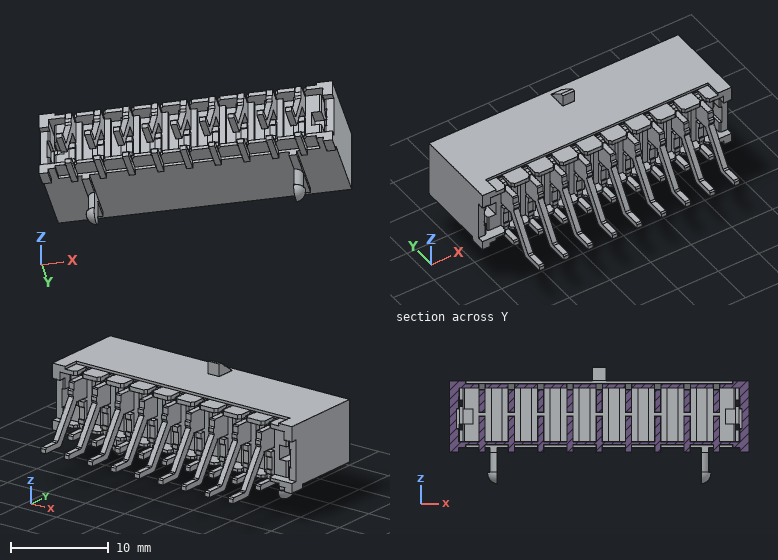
import cadquery as cq


LENGTH = 30.7
DEPTH = 9.92
BODY_BOTTOM = 0.45
BODY_TOP = 7.35
HALF = LENGTH / 2

COLUMNS = 9
ROW_SPAN = 24.0
PITCH = ROW_SPAN / (COLUMNS - 1)
PIN_WIDTH = 0.65
PIN_ROOT = 2.15
TAIL_HEIGHT = 0.65
TIP_CHAMFER = 0.15
OVERALL_DEPTH = 15.9
UPPER_TIP = DEPTH - OVERALL_DEPTH
LOWER_TIP = -1.32
PIN_XS = [-ROW_SPAN / 2 + i * PITCH for i in range(COLUMNS)]

BARB_TOP = 6.88
BARB_FRONT = 1.78
SHOULDER_TOP = 6.7
SHOULDER_BACK = 1.65
SHOULDER_FRONT = 1.1
HEAD_RAMP_FRONT = 0.85
HEAD_RAMP_TOP = 6.5
HEAD_TOP = 6.42
HEAD_BOTTOM = 4.08
HEAD_FRONT = -1.15
HEAD_CHAMFER = 0.12
NOSE_FRONT = -1.32
NOSE_SHOULDER_Z = 5.6
NOSE_TOP = 5.45
NOSE_BOTTOM = 5.05
LEG_TOP_FRONT = (-1.2, 4.75)
LEG_TOP_BACK_Y = -0.6
BEND_START = (-3.87, 0.75)
BEND_END_Y = -4.08
LEG_HEEL_Y = -3.35

LAND_FRONT = 0.52
WEB_FRONT = 0.68
UPPER_LAND_TOP = 3.7
UPPER_LAND_BOTTOM = 3.1
LOWER_LAND_TOP = 1.72
LOWER_LAND_BOTTOM = 1.23

STEP_HALF_LENGTH = 13.65
STEP_DEPTH = 1.9
STEP_HEIGHT = 0.292

POCKET_HALF_LENGTH = 14.35
POCKET_BOTTOM = 1.1
POCKET_TOP = 6.57
POCKET_DEPTH = 1.1
PIN_SLOT_DEPTH = 1.85
SHELF_CORNER_RADIUS = 0.28

CORE_WIDTH = 1.1
CORE_FLOOR = 1.65

END_CUT_DEPTH = 0.75
END_CUT_TOP = 5.65

SLOT_INNER_X = 13.97
SLOT_LEAD_IN_X = 13.78
LEAD_IN_DEPTH = 0.15
SLOT_FLOOR = 3.07
WALL_LEAD_IN_X = 14.52
LATCH_INNER_X = 12.95
LATCH_OUTER_X = 14.6
LATCH_TOP = 4.45
LATCH_BOTTOM = 2.9
LATCH_RELIEF_BOTTOM = 2.43
LATCH_FLOOR = 2.75
WINDOW_HEIGHT = 0.58
WINDOW_BOTTOMS = (2.3, 4.73)

FOOT_WIDTH = 0.95
FOOT_DEPTH = STEP_DEPTH
PEG_AXIS_X = 10.35
PEG_FLAT_X = 10.45
PEG_RADIUS = 0.9
PEG_FROM_BACK = 4.6
PEG_Y = DEPTH - PEG_FROM_BACK
PEG_HEAD_RADIUS = 1.1
PEG_HEAD_TOP = -2.03
PEG_BOTTOM = -3.25
PAD_FRONT = STEP_DEPTH
PAD_BACK = 8.9

RAMP_WIDTH = 1.4
RAMP_TOP = 8.72
RAMP_FRONT = DEPTH - 2.8
RAMP_CREST = DEPTH - 2.43
RAMP_BACK = DEPTH - 0.58


def block(x0, x1, y0, y1, z0, z1):
    """Box between two opposite corners."""
    return cq.Workplane("XY").box(x1 - x0, y1 - y0, z1 - z0, centered=False).translate((x0, y0, z0))


def side_profile(points, width, x_center=0.0):
    """Extrude a closed (y, z) outline along X, centred on x_center."""
    outline = cq.Workplane("YZ").polyline(points).close()
    return outline.extrude(width / 2, both=True).translate((x_center, 0, 0))


def both_ends(solid):
    """The solid together with its mirror image at the other end."""
    return solid.union(solid.mirror("YZ"))


def pin_slot(x):
    """Slot through both shelves at one column, with rounded mouth corners."""
    half_slot = PIN_WIDTH / 2
    half_mouth = half_slot + SHELF_CORNER_RADIUS
    r = SHELF_CORNER_RADIUS
    outline = (
        cq.Workplane("XY", origin=(x, 0, BODY_BOTTOM))
        .moveTo(-half_mouth, 0)
        .radiusArc((-half_slot, r), r)
        .lineTo(-half_slot, PIN_SLOT_DEPTH)
        .lineTo(half_slot, PIN_SLOT_DEPTH)
        .lineTo(half_slot, r)
        .radiusArc((half_mouth, 0), r)
        .close()
    )
    slot = outline.extrude(BODY_TOP - BODY_BOTTOM)
    solid_core = block(-HALF, HALF, POCKET_DEPTH, STEP_DEPTH, POCKET_BOTTOM, POCKET_TOP)
    return slot.cut(solid_core)


def lead_in(slot_x, mouth_x, mouth_y, top):
    """Triangular bevel that widens the slot from slot_x to mouth_x at its mouth."""
    return (
        cq.Workplane("XY", origin=(0, 0, POCKET_BOTTOM))
        .moveTo(-slot_x, mouth_y)
        .lineTo(-mouth_x, mouth_y)
        .lineTo(-slot_x, mouth_y + LEAD_IN_DEPTH)
        .close()
        .extrude(top - POCKET_BOTTOM)
    )


def clip_seat():
    """Slot, latch recess and through windows at the -X end of the pocket."""
    slot = block(-POCKET_HALF_LENGTH, -SLOT_INNER_X, 0, SLOT_FLOOR, POCKET_BOTTOM, POCKET_TOP)
    inner_lead_in = lead_in(SLOT_INNER_X, SLOT_LEAD_IN_X, POCKET_DEPTH, POCKET_TOP)
    wall_lead_in = lead_in(POCKET_HALF_LENGTH, WALL_LEAD_IN_X, END_CUT_DEPTH, END_CUT_TOP)
    latch = block(-POCKET_HALF_LENGTH, -LATCH_INNER_X, 0, LATCH_FLOOR, LATCH_BOTTOM, LATCH_TOP)
    latch_relief = block(
        -LATCH_OUTER_X, -POCKET_HALF_LENGTH, 0, LATCH_FLOOR, LATCH_RELIEF_BOTTOM, LATCH_TOP
    )
    seat = slot.union(inner_lead_in).union(wall_lead_in).union(latch).union(latch_relief)
    for bottom in WINDOW_BOTTOMS:
        window = block(-POCKET_HALF_LENGTH, -SLOT_INNER_X, 0, DEPTH, bottom, bottom + WINDOW_HEIGHT)
        seat = seat.union(window)
    return seat


def housing():
    body = block(-HALF, HALF, 0, DEPTH, BODY_BOTTOM, BODY_TOP)
    for bottom in (BODY_BOTTOM, BODY_TOP - STEP_HEIGHT):
        step = block(-STEP_HALF_LENGTH, STEP_HALF_LENGTH, 0, STEP_DEPTH, bottom, bottom + STEP_HEIGHT)
        body = body.cut(step)
    pocket = block(
        -POCKET_HALF_LENGTH, POCKET_HALF_LENGTH, 0, POCKET_DEPTH, POCKET_BOTTOM, POCKET_TOP
    )
    end_cut = block(-HALF, HALF, 0, END_CUT_DEPTH, POCKET_BOTTOM, END_CUT_TOP)
    body = body.cut(pocket).cut(end_cut)
    for x in PIN_XS:
        body = body.cut(pin_slot(x))
    for x in PIN_XS[:-1]:
        left = x + PITCH / 2 - CORE_WIDTH / 2
        core = block(left, left + CORE_WIDTH, 0, CORE_FLOOR, POCKET_BOTTOM, POCKET_TOP)
        body = body.cut(core)
    return body.cut(both_ends(clip_seat()))


def feet():
    foot = block(-HALF, -HALF + FOOT_WIDTH, 0, FOOT_DEPTH, 0, BODY_BOTTOM)
    return both_ends(foot)


def pegs():
    """Board pegs with domed heads, cut flat on the sides that face each other."""
    axis = (-PEG_AXIS_X, PEG_Y)
    shaft = (
        cq.Workplane("XY", origin=(*axis, PEG_HEAD_TOP))
        .circle(PEG_RADIUS)
        .extrude(BODY_BOTTOM - PEG_HEAD_TOP)
    )
    ball = cq.Workplane("XY").sphere(PEG_HEAD_RADIUS).translate((*axis, PEG_BOTTOM + PEG_HEAD_RADIUS))
    outer_half = block(-HALF, -PEG_FLAT_X, 0, DEPTH, PEG_BOTTOM, PEG_HEAD_TOP)
    head = ball.intersect(outer_half)
    shaft_half = block(-HALF, -PEG_FLAT_X, 0, DEPTH, PEG_HEAD_TOP, BODY_BOTTOM)
    pad = block(-PEG_AXIS_X - PEG_RADIUS, -PEG_FLAT_X, PAD_FRONT, PAD_BACK, 0, BODY_BOTTOM)
    return both_ends(shaft.intersect(shaft_half).union(head).union(pad))


def latch_ramp():
    points = [
        (RAMP_FRONT, BODY_TOP),
        (RAMP_FRONT, RAMP_TOP),
        (RAMP_CREST, RAMP_TOP),
        (RAMP_BACK, BODY_TOP),
    ]
    return side_profile(points, RAMP_WIDTH)


def tail_end(tip):
    """Chamfered top edge and end face of a solder tail, as (y, z) points."""
    return [
        (tip + TIP_CHAMFER, TAIL_HEIGHT),
        (tip, TAIL_HEIGHT - TIP_CHAMFER),
        (tip, 0),
    ]


def upper_pin(x):
    """Pin with a stepped head, a sloping leg and a flat solder tail."""
    head = [
        (PIN_ROOT, BARB_TOP),
        (BARB_FRONT, BARB_TOP),
        (SHOULDER_BACK, SHOULDER_TOP),
        (SHOULDER_FRONT, SHOULDER_TOP),
        (HEAD_RAMP_FRONT, HEAD_RAMP_TOP),
        (HEAD_RAMP_FRONT, HEAD_TOP),
        (HEAD_FRONT + HEAD_CHAMFER, HEAD_TOP),
        (HEAD_FRONT, HEAD_TOP - HEAD_CHAMFER),
        (HEAD_FRONT, NOSE_SHOULDER_Z),
        (NOSE_FRONT, NOSE_TOP),
        (NOSE_FRONT, NOSE_BOTTOM),
    ]
    leg_front = [LEG_TOP_FRONT, BEND_START, (BEND_END_Y, TAIL_HEIGHT)]
    leg_back = [(LEG_HEEL_Y, 0), (LEG_TOP_BACK_Y, HEAD_BOTTOM), (PIN_ROOT, HEAD_BOTTOM)]
    return side_profile(head + leg_front + tail_end(UPPER_TIP) + leg_back, PIN_WIDTH, x)


def lower_pin(x):
    """Upright blade with two raised lands and a straight solder tail."""
    blade = [
        (PIN_ROOT, 0),
        (PIN_ROOT, UPPER_LAND_TOP),
        (LAND_FRONT, UPPER_LAND_TOP),
        (LAND_FRONT, UPPER_LAND_BOTTOM),
        (WEB_FRONT, UPPER_LAND_BOTTOM),
        (WEB_FRONT, LOWER_LAND_TOP),
        (LAND_FRONT, LOWER_LAND_TOP),
        (LAND_FRONT, LOWER_LAND_BOTTOM),
        (WEB_FRONT, LOWER_LAND_BOTTOM),
        (WEB_FRONT, TAIL_HEIGHT),
    ]
    return side_profile(blade + tail_end(LOWER_TIP), PIN_WIDTH, x)


result = housing().union(feet()).union(pegs()).union(latch_ramp())
for pin_x in PIN_XS:
    result = result.union(upper_pin(pin_x)).union(lower_pin(pin_x))